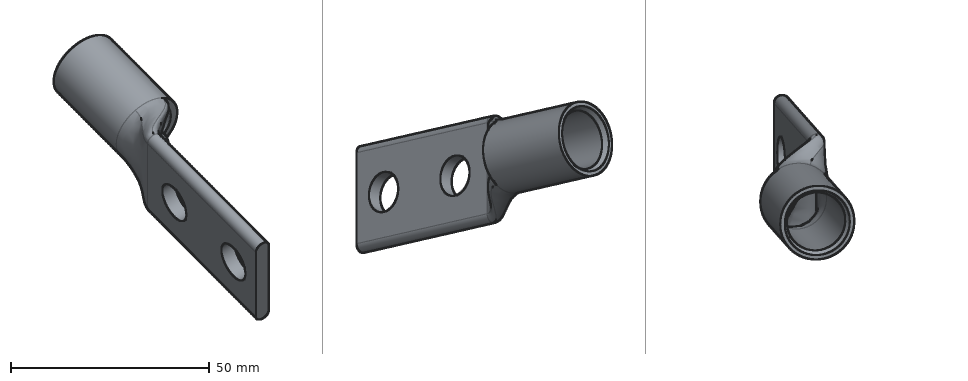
import cadquery as cq
import math

total_length = 87.1
barrel_length = 27.0
transition_length = 13.5
barrel_diameter = 19.1
wall = 2.05
tongue_width = 27.7
mouth_flare = 0.9
mouth_depth = 1.6
hole_diameter = 10.4
hole_positions = (52.0, 77.45)

fold_angle = 60.0
back_edge_angle = -22.0
rim_split_angle = 0.0
cavity_end_gap = 0.2
depth_lag = 1.1
loft_steps = 6

barrel_radius = barrel_diameter / 2
bore_radius = barrel_radius - wall
tongue_thickness = 2 * wall
tongue_start = barrel_length + transition_length
rim_center_z = tongue_width / 2 - wall
flank_angle = 90 - fold_angle


def polar(center, radius, angle):
    """Point (y, z) at an angle measured from +Z towards +Y."""
    turn = math.radians(angle)
    return center[0] + radius * math.sin(turn), center[1] + radius * math.cos(turn)


def arc_points(center, radius, first_angle, last_angle):
    """Start, middle and end of an arc."""
    middle_angle = (first_angle + last_angle) / 2
    return [polar(center, radius, angle) for angle in (first_angle, middle_angle, last_angle)]


def s_curve(progress):
    """Ease from 0 to 1 with level ends."""
    return progress ** 2 * (3 - 2 * progress)


def blend(first, last, progress):
    """Points part of the way along the transition, spreading in Z before flattening in Y."""
    flattening = s_curve(progress ** depth_lag)
    spreading = s_curve(progress)
    return [
        (a[0] + (b[0] - a[0]) * flattening, a[1] + (b[1] - a[1]) * spreading)
        for a, b in zip(first, last)
    ]


def mirrored(point):
    return point[0], -point[1]


def section_wire(points, x):
    """Closed section from its +Z half: back middle, arcs in pairs of points, then the fold."""
    def place(point):
        return cq.Vector(x, *point)

    back, start = points[0], points[1]
    fold = points[-1]
    arc_ends = points[1:-1]
    edges = []
    if math.isclose(back[0], start[0]):
        edges.append(cq.Edge.makeLine(place(mirrored(start)), place(start)))
    else:
        edges.append(cq.Edge.makeThreePointArc(place(mirrored(start)), place(back), place(start)))
    arcs = [arc_ends[i:i + 3] for i in range(0, len(arc_ends) - 2, 2)]
    for arc in arcs:
        edges.append(cq.Edge.makeThreePointArc(*[place(p) for p in arc]))
    edges.append(cq.Edge.makeLine(place(arc_ends[-1]), place(fold)))
    edges.append(cq.Edge.makeLine(place(fold), place(mirrored(arc_ends[-1]))))
    for arc in reversed(arcs):
        edges.append(cq.Edge.makeThreePointArc(*[place(mirrored(p)) for p in reversed(arc)]))
    return cq.Wire.assembleEdges(edges)


def flattening_loft(first, last):
    """Loft that leaves the barrel and meets the tongue along smooth S curves."""
    wires = []
    for step in range(loft_steps + 1):
        progress = step / loft_steps
        x = barrel_length + transition_length * progress
        wires.append(section_wire(blend(first, last, progress), x))
    return cq.Workplane(cq.Solid.makeLoft(wires))


axis = (barrel_radius, 0)
wing_center = polar(axis, bore_radius, flank_angle)
rim_center = (wall, rim_center_z)

side = arc_points(axis, barrel_radius, back_edge_angle, flank_angle)
wing = arc_points(wing_center, wall, flank_angle, flank_angle + 90)
outer_fold = (barrel_radius + wall / math.sin(math.radians(fold_angle)), 0)
outer_start = [(0, 0)] + side + wing[1:] + [outer_fold]

rim_side = arc_points(rim_center, wall, -90, rim_split_angle)
rim_tip = arc_points(rim_center, wall, rim_split_angle, 90)
outer_end = [(0, 0)] + rim_side + rim_tip[1:] + [(tongue_thickness, 0)]

cavity_start = [(wall, 0), wing_center, axis]
cavity_end = [(wall - cavity_end_gap / 2, 0), rim_center, (wall + cavity_end_gap / 2, 0)]

barrel = cq.Workplane("YZ").center(*axis).circle(barrel_radius).extrude(barrel_length)
tongue = (
    cq.Workplane("YZ", origin=(tongue_start, wall, 0))
    .slot2D(tongue_width, tongue_thickness, 90)
    .extrude(total_length - tongue_start)
)
transition = flattening_loft(outer_start, outer_end)
cavity = flattening_loft(cavity_start, cavity_end)

bore = cq.Workplane("YZ").center(*axis).circle(bore_radius).extrude(barrel_length)
mouth = cq.Workplane(
    cq.Solid.makeCone(
        bore_radius + mouth_flare,
        bore_radius,
        mouth_depth,
        pnt=cq.Vector(0, *axis),
        dir=cq.Vector(1, 0, 0),
    )
)
holes = (
    cq.Workplane("XZ")
    .pushPoints([(x, 0) for x in hole_positions])
    .circle(hole_diameter / 2)
    .extrude(-tongue_thickness)
)

result = barrel.union(transition).union(tongue)
result = result.cut(cavity).cut(bore).cut(mouth).cut(holes)